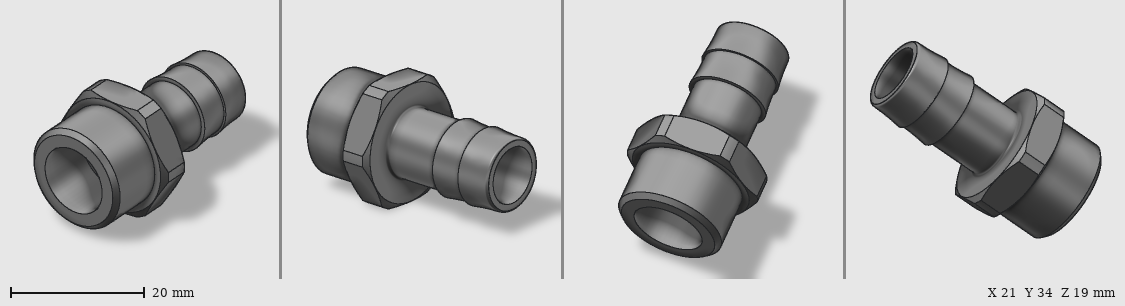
import cadquery as cq
import math

total_length = 34.0
y_front = -total_length / 2
y_tip = total_length / 2

thread_radius = 8.33
thread_length = 9.0
thread_chamfer = 0.78

across_flats = 19.0
corner_radius = 10.5
collar_width = 5.0
collar_face_radius = 9.45
collar_chamfer_angle = 30.0

stem_radius = 5.5
stem_fillet = 0.48
barb_start_radius = 5.8
barb_crest_radius = 6.2
barb_pitch = 5.0
barb_count = 2
tip_round = 0.48

wide_bore_radius = 5.5
narrow_bore_radius = 4.5
bore_cone_half_angle = 60.0

y_collar_front = y_front + thread_length
y_collar_back = y_collar_front + collar_width


def revolve_about_y(profile):
    """Revolve a closed (radius, y) profile around the Y axis."""
    return profile.close().revolve(360, (0, 0, 0), (0, 1, 0))


def make_cylinder(radius, y_start, y_end):
    profile = cq.Workplane("XY").moveTo(0, y_start).lineTo(radius, y_start)
    return revolve_about_y(profile.lineTo(radius, y_end).lineTo(0, y_end))


def make_thread():
    thread = make_cylinder(thread_radius, y_front, y_collar_front)
    return thread.faces("<Y").chamfer(thread_chamfer)


def make_collar():
    """Hexagon with flats at top and bottom, rounded corners and turned end chamfers."""
    across_corners = across_flats / math.cos(math.radians(30))
    hexagon = (
        cq.Workplane("XZ", origin=(0, y_collar_back, 0))
        .polygon(6, across_corners)
        .extrude(collar_width)
    )
    chamfer_height = (corner_radius - collar_face_radius) * math.tan(math.radians(collar_chamfer_angle))
    turned_blank = revolve_about_y(
        cq.Workplane("XY")
        .moveTo(0, y_collar_front)
        .lineTo(collar_face_radius, y_collar_front)
        .lineTo(corner_radius, y_collar_front + chamfer_height)
        .lineTo(corner_radius, y_collar_back - chamfer_height)
        .lineTo(collar_face_radius, y_collar_back)
        .lineTo(0, y_collar_back)
    )
    return hexagon.intersect(turned_blank)


def make_stem():
    """Plain stem with a concave fillet where it meets the collar."""
    arc_offset = stem_fillet * (1 - math.sqrt(0.5))
    return revolve_about_y(
        cq.Workplane("XY")
        .moveTo(0, y_collar_back)
        .lineTo(stem_radius + stem_fillet, y_collar_back)
        .threePointArc(
            (stem_radius + arc_offset, y_collar_back + arc_offset),
            (stem_radius, y_collar_back + stem_fillet),
        )
        .lineTo(stem_radius, y_tip)
        .lineTo(0, y_tip)
    )


def make_barb(y_start):
    """One barb, flaring from axial at y_start to a sharp crest one pitch toward the collar."""
    y_crest = y_start - barb_pitch
    mid_radius = barb_start_radius + (barb_crest_radius - barb_start_radius) / 4
    return revolve_about_y(
        cq.Workplane("XY")
        .moveTo(0, y_start)
        .lineTo(barb_start_radius, y_start)
        .threePointArc(
            (mid_radius, y_start - barb_pitch / 2),
            (barb_crest_radius, y_crest),
        )
        .lineTo(0, y_crest)
    )


def make_tip():
    """Rounded end of the hose tail."""
    arc_offset = tip_round * (1 - math.sqrt(0.5))
    return revolve_about_y(
        cq.Workplane("XY")
        .moveTo(0, y_tip - tip_round)
        .lineTo(barb_start_radius, y_tip - tip_round)
        .threePointArc(
            (barb_start_radius - arc_offset, y_tip - arc_offset),
            (barb_start_radius - tip_round, y_tip),
        )
        .lineTo(0, y_tip)
    )


def make_bore():
    cone_length = (wide_bore_radius - narrow_bore_radius) / math.tan(math.radians(bore_cone_half_angle))
    return revolve_about_y(
        cq.Workplane("XY")
        .moveTo(0, y_front)
        .lineTo(wide_bore_radius, y_front)
        .lineTo(wide_bore_radius, y_collar_front)
        .lineTo(narrow_bore_radius, y_collar_front + cone_length)
        .lineTo(narrow_bore_radius, y_tip)
        .lineTo(0, y_tip)
    )


body = make_thread().union(make_collar()).union(make_stem()).union(make_tip())
for index in range(barb_count):
    body = body.union(make_barb(y_tip - tip_round - index * barb_pitch))

result = body.cut(make_bore())